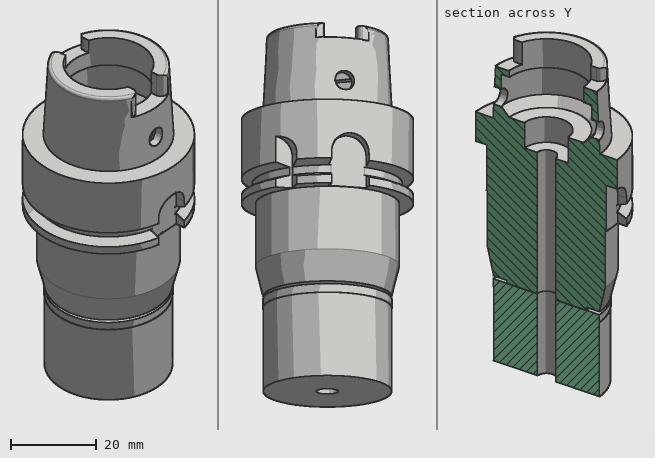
import cadquery as cq
import math

TOTAL_LENGTH = 85.0
BORE_RADIUS = 5.1 / 2

NUT_RADIUS = 29.9 / 2
NUT_COLLAR_RADIUS = 30.1 / 2
NUT_COLLAR_BOTTOM = 20.0
NUT_TOP = 22.0

NECK_RADIUS = 22.6 / 2
SHANK_BOTTOM = 22.7
SHANK_END_RADIUS = 29.9 / 2
SHANK_RADIUS = 33.5 / 2
SHANK_TAPER_TOP = 30.0

FLANGE_RADIUS = 40.0 / 2
FLANGE_BOTTOM = 45.0
FLANGE_TOP = 65.0
GROOVE_MIDDLE = 49.0
GROOVE_MOUTH_WIDTH = 4.0
GROOVE_FLOOR_WIDTH = 1.9
GROOVE_FLOOR_RADIUS = 34.9 / 2

SLOT_WIDTH = 9.0
SLOT_TOP = 57.1
SLOT_FLOOR_X = 17.0
NOTCH_FLOOR_X = 12.15
NOTCH_Y = 16.5

TAPER_BASE_RADIUS = 30.35 / 2
TAPER_TOP_RADIUS = 28.2 / 2
RIM_FILLET = 0.8
MOUTH_RADIUS = 21.0 / 2
MOUTH_DEPTH = 7.7
CAVITY_RADIUS = 25.5 / 2
CAVITY_WALL_BOTTOM = 68.85
CAVITY_FLOOR_RADIUS = MOUTH_RADIUS
CAVITY_FLOOR = CAVITY_WALL_BOTTOM - (CAVITY_RADIUS - CAVITY_FLOOR_RADIUS)
TUBE_SEAT_RADIUS = 12.2 / 2
TUBE_SEAT_DEPTH = 6.8

KEYWAY_WIDTH = 8.1
KEYWAY_CORNER_RADIUS = 1.6
KEYWAY_LOBE_RADIUS = 14.2
SHALLOW_KEYWAY_DEPTH = 3.6
DEEP_KEYWAY_DEPTH = 5.95
CROSS_HOLE_DIAMETER = 4.6
CROSS_HOLE_Z = 71.1


def cylinder(radius, bottom, top):
    return cq.Workplane("XY").workplane(offset=bottom).circle(radius).extrude(top - bottom)


def make_nut():
    body = cylinder(NUT_RADIUS, 0, NUT_TOP)
    collar = cylinder(NUT_COLLAR_RADIUS, NUT_COLLAR_BOTTOM, NUT_TOP)
    return body.union(collar).cut(cylinder(BORE_RADIUS, 0, NUT_TOP))


def make_holder_blank():
    """Outside of the holder: neck, shank, grooved flange and taper, turned about Z."""
    half_mouth = GROOVE_MOUTH_WIDTH / 2
    half_floor = GROOVE_FLOOR_WIDTH / 2
    outline = [
        (0, NUT_TOP),
        (NECK_RADIUS, NUT_TOP),
        (NECK_RADIUS, SHANK_BOTTOM),
        (SHANK_END_RADIUS, SHANK_BOTTOM),
        (SHANK_RADIUS, SHANK_TAPER_TOP),
        (SHANK_RADIUS, FLANGE_BOTTOM),
        (FLANGE_RADIUS, FLANGE_BOTTOM),
        (FLANGE_RADIUS, GROOVE_MIDDLE - half_mouth),
        (GROOVE_FLOOR_RADIUS, GROOVE_MIDDLE - half_floor),
        (GROOVE_FLOOR_RADIUS, GROOVE_MIDDLE + half_floor),
        (FLANGE_RADIUS, GROOVE_MIDDLE + half_mouth),
        (FLANGE_RADIUS, FLANGE_TOP),
        (TAPER_BASE_RADIUS, FLANGE_TOP),
        (TAPER_TOP_RADIUS, TOTAL_LENGTH),
        (0, TOTAL_LENGTH),
    ]
    blank = cq.Workplane("XZ").polyline(outline).close().revolve(360, (0, 0), (0, 1))
    return blank.faces(">Z").edges().fillet(RIM_FILLET)


def make_cavity():
    """Inside of the holder: mouth, wider cavity with a sloped base, tube seat and bore."""
    mouth_bottom = TOTAL_LENGTH - MOUTH_DEPTH
    seat_bottom = CAVITY_FLOOR - TUBE_SEAT_DEPTH
    outline = [
        (0, NUT_TOP),
        (BORE_RADIUS, NUT_TOP),
        (BORE_RADIUS, seat_bottom),
        (TUBE_SEAT_RADIUS, seat_bottom),
        (TUBE_SEAT_RADIUS, CAVITY_FLOOR),
        (CAVITY_FLOOR_RADIUS, CAVITY_FLOOR),
        (CAVITY_RADIUS, CAVITY_WALL_BOTTOM),
        (CAVITY_RADIUS, mouth_bottom),
        (MOUTH_RADIUS, mouth_bottom),
        (MOUTH_RADIUS, TOTAL_LENGTH),
        (0, TOTAL_LENGTH),
    ]
    return cq.Workplane("XZ").polyline(outline).close().revolve(360, (0, 0), (0, 1))


def make_flange_slot(floor_x, middle_y):
    """Slot from the flange underside to a round top, open toward -X from a flat floor."""
    radius = SLOT_WIDTH / 2
    shoulder = SLOT_TOP - radius
    outline = (
        cq.Workplane("YZ", origin=(-floor_x, middle_y, 0))
        .moveTo(-radius, FLANGE_BOTTOM)
        .lineTo(-radius, shoulder)
        .threePointArc((0, SLOT_TOP), (radius, shoulder))
        .lineTo(radius, FLANGE_BOTTOM)
        .close()
    )
    return outline.extrude(-FLANGE_RADIUS)


def make_keyway(depth):
    """Keyway through the -X wall of the taper, its outer corners rounded into the wall."""
    half_width = KEYWAY_WIDTH / 2
    corner = KEYWAY_CORNER_RADIUS
    corner_y = half_width + corner
    corner_x = math.sqrt((KEYWAY_LOBE_RADIUS - corner) ** 2 - corner_y**2)
    outward = KEYWAY_LOBE_RADIUS / (KEYWAY_LOBE_RADIUS - corner)
    lobe_x = corner_x * outward
    lobe_y = corner_y * outward
    middle_angle = (math.atan2(corner_y, corner_x) - math.pi / 2) / 2
    middle_x = corner_x + corner * math.cos(middle_angle)
    middle_y = corner_y + corner * math.sin(middle_angle)
    outline = (
        cq.Workplane("XY", origin=(0, 0, TOTAL_LENGTH - depth))
        .moveTo(0, half_width)
        .lineTo(-corner_x, half_width)
        .threePointArc((-middle_x, middle_y), (-lobe_x, lobe_y))
        .lineTo(-FLANGE_RADIUS, lobe_y)
        .lineTo(-FLANGE_RADIUS, -lobe_y)
        .lineTo(-lobe_x, -lobe_y)
        .threePointArc((-middle_x, -middle_y), (-corner_x, -half_width))
        .lineTo(0, -half_width)
        .close()
    )
    return outline.extrude(depth)


def turn_to_far_side(shape):
    return shape.rotate((0, 0, 0), (0, 0, 1), 180)


def make_holder():
    cross_hole = (
        cq.Workplane("YZ", origin=(0, 0, CROSS_HOLE_Z))
        .circle(CROSS_HOLE_DIAMETER / 2)
        .extrude(FLANGE_RADIUS, both=True)
    )
    drive_slot = make_flange_slot(SLOT_FLOOR_X, 0)
    cuts = [
        make_cavity(),
        drive_slot,
        turn_to_far_side(drive_slot),
        make_flange_slot(NOTCH_FLOOR_X, NOTCH_Y),
        make_keyway(SHALLOW_KEYWAY_DEPTH),
        turn_to_far_side(make_keyway(DEEP_KEYWAY_DEPTH)),
        cross_hole,
    ]
    holder = make_holder_blank()
    for cut in cuts:
        holder = holder.cut(cut)
    return holder


nut = make_nut()
holder = make_holder()
result = cq.Compound.makeCompound([nut.val(), holder.val()])